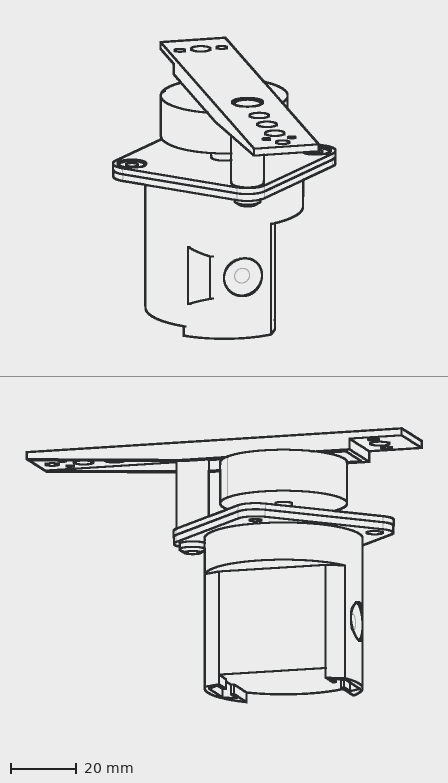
import cadquery as cq
import math

clearance = 1.0

housing_top = 46.6
flange_seam = 48.75
flange_top = 50.6
hub_top = 54.5
wheel_bottom = 57.4
wheel_top = 70.1
arm_bottom = 70.7
arm_thin_bottom = 74.0
arm_top = 76.2

housing_radius = 24.1
diagonal_angle = -45
foot_gap_height = 3.0
foot_inner_face = 17.0
foot_groove_depth = 1.0
foot_groove_width = 8.2
rear_cut_height = 35.0
rear_cut_at_rim = 9.1
rear_cut_inside = 11.6

dimple_height = 19.3
slot_inner = foot_inner_face + foot_groove_depth
slot_outer = 21.9
slot_inner_height = 18.1
slot_outer_height = 13.4
slot_end = 9.9
slot_floor_inner_end = -10.1
slot_floor_outer_end = -8.0
dimple_rim_diameter = 11.9
dimple_rim_offset = 23.3
dimple_floor_diameter = 4.7
dimple_floor_offset = 22.2

flange_size = 52.8
flange_corner_radius = 6.2
seam_depth = 0.1
corner_offset = 20.5
screw_hole_diameter = 3.7
screw_seat_diameter = 8.8
screw_seat_step = 0.4
plain_hole_diameter = 5.1

seat_depth = 0.4

hub_diameter = 8.0
shaft_diameter = 5.1
wheel_diameter = 38.7
wheel_groove_width = 0.9
wheel_groove_depth = 0.5
wheel_groove_y = -5.2
post_diameter = 9.9
post_seat_diameter = 9.5
post_seat_step = 0.7
stud_diameter = 8.0
stud_tip_diameter = 5.0
stud_length = 1.7
stud_tip_length = 1.0

arm_angle = -45.4
arm_width = 20.3
arm_back = -69.9
arm_front = 49.7
arm_step = arm_back + 16.7
arm_taper_start = 0.5
arm_rail = 2.0
large_hole_diameter = 6.0
large_holes = (-59.8, 14.9, 24.9, 34.8)
tip_hole_diameter = 4.1
tip_hole = 44.9
back_pair = (-59.8, 6.6, 3.3)
tip_pair = (40.4, 4.0, 2.3)


def cylinder(diameter, bottom, top, x=0.0, y=0.0):
    return cq.Workplane("XY", origin=(x, y, bottom)).circle(diameter / 2).extrude(top - bottom)


def block(x0, x1, y0, y1, z0, z1):
    return cq.Workplane("XY").box(x1 - x0, y1 - y0, z1 - z0, centered=False).translate((x0, y0, z0))


def seat(diameter, step, top, x, y):
    """Shallow recess with a sloping rim, cut into a face at the given height."""
    return (
        cq.Workplane("XY", origin=(x, y, top))
        .circle(diameter / 2)
        .workplane(offset=-seat_depth)
        .circle(diameter / 2 - step)
        .loft()
    )


def side_slot():
    """Trapezoidal slot along Y on the +X side, closed by a 45 degree wall.

    Past the end of its sloping floor the slot is open down to the underside.
    """
    section = [
        (slot_inner, dimple_height - slot_inner_height / 2),
        (slot_outer, dimple_height - slot_outer_height / 2),
        (slot_outer, dimple_height + slot_outer_height / 2),
        (slot_inner, dimple_height + slot_inner_height / 2),
    ]
    slot = cq.Workplane("XZ", origin=(0, slot_end, 0)).polyline(section).close()
    slot = slot.extrude(slot_end + housing_radius)
    end_wall_shift = slot_outer - slot_inner
    end_wall = (
        cq.Workplane("XY")
        .polyline([
            (slot_inner, slot_end),
            (slot_outer, slot_end),
            (slot_outer, slot_end - end_wall_shift),
        ])
        .close()
        .extrude(rear_cut_height)
    )
    opening_below = (
        cq.Workplane("XY")
        .polyline([
            (slot_inner, slot_floor_inner_end),
            (slot_outer, slot_floor_outer_end),
            (slot_outer, slot_end - end_wall_shift),
            (slot_inner, slot_end),
        ])
        .close()
        .extrude(dimple_height)
    )
    return slot.cut(end_wall).union(opening_below)


def dimple():
    """Conical dimple on the +X side, with a flat round floor."""
    mouth_offset = housing_radius + clearance
    return (
        cq.Workplane("XZ")
        .polyline([
            (dimple_floor_offset, dimple_height),
            (dimple_floor_offset, dimple_height + dimple_floor_diameter / 2),
            (dimple_rim_offset, dimple_height + dimple_rim_diameter / 2),
            (mouth_offset, dimple_height + dimple_rim_diameter / 2),
            (mouth_offset, dimple_height),
        ])
        .close()
        .revolve(360, (0, dimple_height, 0), (1, dimple_height, 0))
    )


def make_housing():
    """Round housing, shaped with its diagonal along X and then turned into place."""
    reach = housing_radius + clearance
    body = cylinder(2 * housing_radius, 0, housing_top)

    rim_x = math.sqrt(housing_radius**2 - rear_cut_at_rim**2)
    rear_cut = (
        cq.Workplane("XY")
        .polyline([
            (-rim_x, reach),
            (-rim_x, rear_cut_at_rim),
            (-foot_inner_face, rear_cut_inside),
            (foot_inner_face, rear_cut_inside),
            (rim_x, rear_cut_at_rim),
            (rim_x, reach),
        ])
        .close()
        .extrude(rear_cut_height)
    )
    body = body.cut(rear_cut)

    body = body.cut(block(-foot_inner_face, foot_inner_face, -reach, reach, 0, foot_gap_height))
    half_groove = foot_groove_width / 2
    body = body.cut(block(-slot_inner, slot_inner, -half_groove, half_groove, 0, foot_gap_height))

    for cutter in (side_slot(), dimple()):
        body = body.cut(cutter).cut(cutter.mirror("YZ"))
    return body.rotate((0, 0, 0), (0, 0, 1), diagonal_angle)


def flange_plate(size, corner_radius, bottom, top):
    plate = cq.Workplane("XY", origin=(0, 0, bottom)).rect(size, size).extrude(top - bottom)
    return plate.edges("|Z").fillet(corner_radius)


def make_flange():
    """Two stacked square plates, the lower one slightly smaller, with corner holes."""
    lower = flange_plate(
        flange_size - 2 * seam_depth, flange_corner_radius - seam_depth, housing_top, flange_seam
    )
    upper = flange_plate(flange_size, flange_corner_radius, flange_seam, flange_top)
    flange = lower.union(upper)
    for side in (-1, 1):
        x = y = side * corner_offset
        flange = flange.cut(cylinder(screw_hole_diameter, housing_top, flange_top, x, y))
        flange = flange.cut(seat(screw_seat_diameter, screw_seat_step, flange_top, x, y))
    return flange.cut(
        cylinder(plain_hole_diameter, housing_top, flange_top, -corner_offset, corner_offset)
    )


def make_shaft_and_wheel():
    hub = cylinder(hub_diameter, flange_top, hub_top)
    shaft = cylinder(shaft_diameter, hub_top, wheel_bottom)
    wheel = cylinder(wheel_diameter, wheel_bottom, wheel_top)
    rim_x = -math.sqrt((wheel_diameter / 2) ** 2 - wheel_groove_y**2)
    groove = block(
        rim_x - clearance,
        rim_x + wheel_groove_depth,
        wheel_groove_y - wheel_groove_width / 2,
        wheel_groove_y + wheel_groove_width / 2,
        wheel_bottom,
        wheel_top,
    )
    return hub.union(shaft).union(wheel.cut(groove))


def make_post():
    """Post that carries the arm, with a tapered stud under the flange."""
    x, y = corner_offset, -corner_offset
    stud_bottom = housing_top - stud_length
    tip = (
        cq.Workplane("XY", origin=(x, y, stud_bottom))
        .circle(stud_diameter / 2)
        .workplane(offset=-stud_tip_length)
        .circle(stud_tip_diameter / 2)
        .loft()
    )
    stud = cylinder(stud_diameter, stud_bottom, flange_top, x, y).union(tip)
    return stud.union(cylinder(post_diameter, flange_top, arm_thin_bottom, x, y))


def make_arm():
    """Stepped and tapered arm along X from the post, then turned and moved to it."""
    arm = (
        cq.Workplane("XZ", origin=(0, arm_width / 2, 0))
        .polyline([
            (arm_back, arm_top),
            (arm_back, arm_thin_bottom),
            (arm_step, arm_thin_bottom),
            (arm_step, arm_bottom),
            (arm_taper_start, arm_bottom),
            (arm_front, arm_thin_bottom),
            (arm_front, arm_top),
        ])
        .close()
        .extrude(arm_width)
    )
    half_channel = arm_width / 2 - arm_rail
    arm = arm.cut(
        block(arm_step + arm_rail, arm_front, -half_channel, half_channel, arm_bottom, arm_thin_bottom)
    )

    holes = [(along, 0, large_hole_diameter) for along in large_holes]
    holes.append((tip_hole, 0, tip_hole_diameter))
    for along, across, diameter in (back_pair, tip_pair):
        holes.append((along, across, diameter))
        holes.append((along, -across, diameter))
    for along, across, diameter in holes:
        arm = arm.cut(cylinder(diameter, arm_bottom, arm_top, along, across))
    arm = arm.cut(seat(post_seat_diameter, post_seat_step, arm_top, 0, 0))
    return arm.rotate((0, 0, 0), (0, 0, 1), arm_angle).translate((corner_offset, -corner_offset, 0))


result = (
    make_housing()
    .union(make_flange())
    .union(make_shaft_and_wheel())
    .union(make_post())
    .union(make_arm())
)